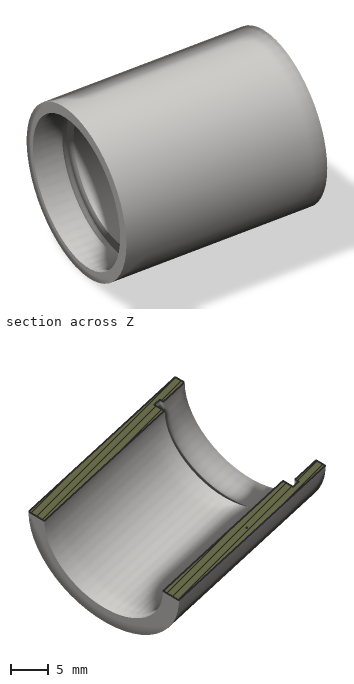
import cadquery as cq

outer_diameter = 25.4
bore_diameter = 20.0
length = 30.9
counterbore_diameter = 22.2
counterbore_depth = 5.6

groove_diameter = 23.4
groove_width = 1.1


def axial_cylinder(diameter, start, end):
    """Cylinder on the sleeve axis between two distances from the -Y end face."""
    start_plane = cq.Workplane("XZ", origin=(0, start - length / 2, 0))
    return start_plane.circle(diameter / 2).extrude(start - end)


sleeve = axial_cylinder(outer_diameter, 0, length)
bore = axial_cylinder(bore_diameter, 0, length)
counterbore = axial_cylinder(counterbore_diameter, 0, counterbore_depth)
groove = axial_cylinder(groove_diameter, counterbore_depth - groove_width, counterbore_depth)

result = sleeve.cut(bore).cut(counterbore).cut(groove)